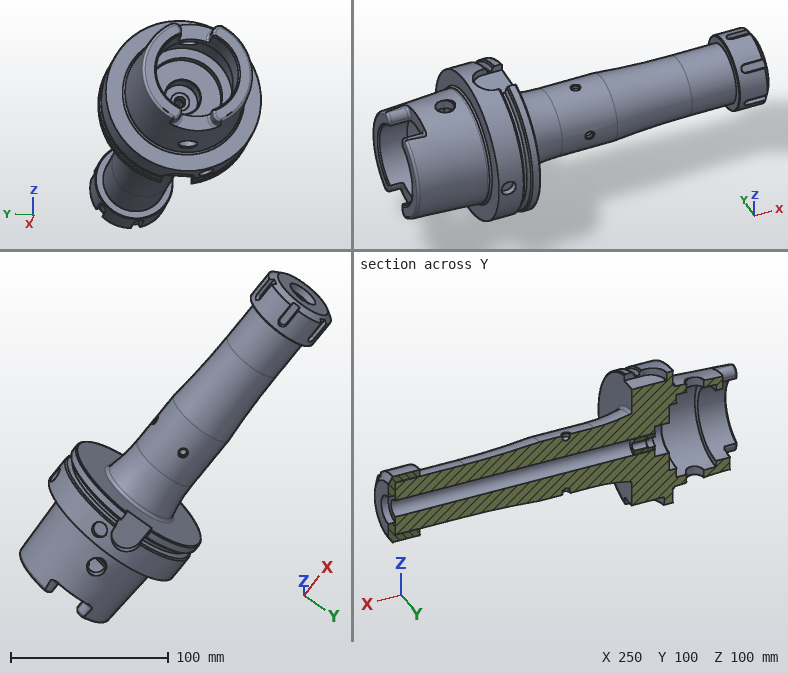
import cadquery as cq
import math


shank_length = 50.0
shank_end_radius = 35.5
shank_root_radius = 38.0
shank_root_width = 2.7
root_fillet = 1.2
rim_round = 1.7

mouth_radius = 26.5
mouth_chamfer = 1.0
mouth_depth = 20.0
chamber_radius = 31.0
chamber_end_x = -2.5
seat_radius = 24.5
seat_floor_x = 2.5
thread_radius = 11.2
thread_chamfer = 0.5
thread_depth = 10.0

drive_half_width = 10.0
drive_flare_radius = 5.0
drive_flare_height = 32.0
upper_drive_depth = 15.0
lower_drive_depth = 10.0
drive_floor_round = 1.7

clamp_hole_radius = 6.0
clamp_hole_x = -15.5
clamp_hole_chamfer = 0.5

flange_radius = 50.0
flange_width = 29.0
flange_chamfer = 0.7
groove_x = 20.2
groove_floor_radius = 45.7
groove_floor_half_width = 1.0
groove_mouth_half_width = 2.2
groove_chamfer = 1.0

key_floor_height = 44.0
upper_key_width = 22.0
upper_key_start = 4.7
lower_key_width = 20.0
lower_key_start = 6.5

chip_radius = 5.0
chip_depth = 4.5
side_chip_x = 6.7
lower_chip_x = 9.0
lower_chip_angle = 19.0

neck_foot_radius = 25.5
neck_foot_round = 2.0
neck_thick_radius = 22.5
neck_thin_radius = 20.0
neck_arc_end = 55.7
neck_taper_start = 94.0
neck_taper_end = 146.7

balance_x = 75.0
balance_radius = 2.5
balance_countersink = 0.7
balance_depth = 3.0
balance_count = 4
drill_tip_angle = 118.0

nut_start = 177.5
nut_length = 22.5
nut_radius = 25.0
nut_rear_chamfer = 0.5
nut_bevel_length = 3.2
nut_bevel_height = 5.0
nut_front_wall = 5.0
nut_opening_radius = 10.0
wrench_slot_count = 6
wrench_slot_angle = 10.0
wrench_slot_width = 5.0
wrench_slot_start = 182.2
wrench_slot_floor = 22.2
wrench_slot_taper = 12.0

bore_radius = 6.0
stop_length = 15.0
stop_hole_radius = 2.7
stop_socket_radius = 3.5
stop_socket_depth = 5.0

nut_end = nut_start + nut_length
thread_end_x = seat_floor_x + thread_depth
spigot_end = nut_end - nut_front_wall


def x_cylinder(radius, start, end):
    return cq.Workplane("YZ", origin=(start, 0, 0)).circle(radius).extrude(end - start)


def tangent_arc_middle(tangent_point, other_point):
    """Middle of the arc that leaves tangent_point parallel to X and ends at other_point."""
    run = other_point[0] - tangent_point[0]
    rise = other_point[1] - tangent_point[1]
    arc_radius = (run**2 + rise**2) / (2 * rise)
    half_angle = math.atan2(rise, abs(run))
    return (
        tangent_point[0] + math.copysign(abs(arc_radius) * math.sin(half_angle), run),
        tangent_point[1] + arc_radius * (1 - math.cos(half_angle)),
    )


def revolve_about_x(sketch):
    return sketch.close().revolve(360, (0, 0, 0), (1, 0, 0))


def shank():
    profile = (
        cq.Workplane("XY")
        .moveTo(-shank_length, 0)
        .lineTo(-shank_length, shank_end_radius)
        .lineTo(-shank_root_width, shank_root_radius)
        .lineTo(-root_fillet, shank_root_radius)
        .radiusArc((0, shank_root_radius + root_fillet), root_fillet)
        .lineTo(0, 0)
    )
    return revolve_about_x(profile)


def shank_bore():
    mouth_end = mouth_depth - shank_length
    profile = (
        cq.Workplane("XY")
        .moveTo(-shank_length, 0)
        .lineTo(-shank_length, mouth_radius + mouth_chamfer)
        .lineTo(mouth_chamfer - shank_length, mouth_radius)
        .lineTo(mouth_end, mouth_radius)
        .lineTo(mouth_end, chamber_radius)
        .lineTo(chamber_end_x, chamber_radius)
        .lineTo(chamber_end_x, seat_radius)
        .lineTo(seat_floor_x, seat_radius)
        .lineTo(seat_floor_x, thread_radius + thread_chamfer)
        .lineTo(seat_floor_x + thread_chamfer, thread_radius)
        .lineTo(thread_end_x, thread_radius)
        .lineTo(thread_end_x, 0)
    )
    return revolve_about_x(profile)


def drive_slot(side, depth):
    """Slot in the shank rim whose sides flare outwards round; side is +1 for +Z, -1 for -Z."""
    flare_end = drive_half_width + drive_flare_radius
    flat_height = drive_flare_height - drive_flare_radius
    inset = drive_flare_radius * (1 - math.sqrt(0.5))
    arc_middle_y = drive_half_width + inset
    arc_middle_z = side * (drive_flare_height - inset)
    flare_z = side * drive_flare_height
    top_z = side * flange_radius
    outline = (
        cq.Workplane("YZ", origin=(-shank_length, 0, 0))
        .moveTo(-drive_half_width, 0)
        .lineTo(-drive_half_width, side * flat_height)
        .threePointArc((-arc_middle_y, arc_middle_z), (-flare_end, flare_z))
        .lineTo(-shank_root_radius, flare_z)
        .lineTo(-shank_root_radius, top_z)
        .lineTo(shank_root_radius, top_z)
        .lineTo(shank_root_radius, flare_z)
        .lineTo(flare_end, flare_z)
        .threePointArc((arc_middle_y, arc_middle_z), (drive_half_width, side * flat_height))
        .lineTo(drive_half_width, 0)
        .close()
    )
    return outline.extrude(depth).faces(">X").edges().fillet(drive_floor_round)


def clamp_hole(side):
    """Countersunk radial hole from the shank axis outwards; side is +1 for +Z, -1 for -Z."""
    slope = (shank_root_radius - shank_end_radius) / (shank_length - shank_root_width)
    surface = shank_end_radius + slope * (shank_length + clamp_hole_x)
    hole = (
        cq.Workplane("XZ", origin=(clamp_hole_x, 0, 0))
        .lineTo(clamp_hole_radius, 0)
        .lineTo(clamp_hole_radius, surface - clamp_hole_chamfer)
        .lineTo(clamp_hole_radius + 2 * clamp_hole_chamfer, surface + clamp_hole_chamfer)
        .lineTo(0, surface + clamp_hole_chamfer)
        .close()
        .revolve(360, (0, 0, 0), (0, 1, 0))
    )
    return hole if side > 0 else hole.mirror("XY")


def flange():
    groove_edge = flange_radius - groove_chamfer
    profile = (
        cq.Workplane("XY")
        .moveTo(0, 0)
        .lineTo(0, flange_radius)
        .lineTo(groove_x - groove_mouth_half_width - groove_chamfer, flange_radius)
        .lineTo(groove_x - groove_mouth_half_width, groove_edge)
        .lineTo(groove_x - groove_floor_half_width, groove_floor_radius)
        .lineTo(groove_x + groove_floor_half_width, groove_floor_radius)
        .lineTo(groove_x + groove_mouth_half_width, groove_edge)
        .lineTo(groove_x + groove_mouth_half_width + groove_chamfer, flange_radius)
        .lineTo(flange_width - flange_chamfer, flange_radius)
        .lineTo(flange_width, flange_radius - flange_chamfer)
        .lineTo(flange_width, 0)
    )
    return revolve_about_x(profile)


def key_slot(side, width, start):
    """Slot with a round end that opens at the front of the flange."""
    end_radius = width / 2
    end_centre = start + end_radius
    return (
        cq.Workplane("XY", origin=(0, 0, side * key_floor_height))
        .moveTo(flange_width, -end_radius)
        .lineTo(end_centre, -end_radius)
        .threePointArc((start, 0), (end_centre, end_radius))
        .lineTo(flange_width, end_radius)
        .close()
        .extrude(side * flange_radius)
    )


def chip_pocket(x, angle):
    """Round blind pocket in the flange; the angle turns from -Z towards -Y."""
    pocket = (
        cq.Workplane("XY", origin=(x, 0, chip_depth - flange_radius))
        .circle(chip_radius)
        .extrude(-2 * chip_depth)
    )
    return pocket.rotate((0, 0, 0), (1, 0, 0), -angle)


def neck():
    foot = (flange_width + neck_foot_round, neck_foot_radius)
    arc_end = (neck_arc_end, neck_thick_radius)
    taper_start = (neck_taper_start, neck_thick_radius)
    taper_end = (neck_taper_end, neck_thin_radius)
    profile = (
        cq.Workplane("XY")
        .moveTo(flange_width, 0)
        .lineTo(flange_width, neck_foot_radius + neck_foot_round)
        .radiusArc(foot, -neck_foot_round)
        .threePointArc(tangent_arc_middle(arc_end, foot), arc_end)
        .lineTo(*taper_start)
        .threePointArc(tangent_arc_middle(taper_end, taper_start), taper_end)
        .lineTo(spigot_end, neck_thin_radius)
        .lineTo(spigot_end, 0)
    )
    return revolve_about_x(profile)


def balance_hole(angle):
    """Drilled blind hole in the neck with a conical bottom."""
    tip_height = balance_radius / math.tan(math.radians(drill_tip_angle / 2))
    floor = neck_thick_radius - balance_depth
    hole = (
        cq.Workplane("XZ", origin=(balance_x, 0, 0))
        .moveTo(0, floor - tip_height)
        .lineTo(balance_radius, floor)
        .lineTo(balance_radius, neck_thick_radius - balance_countersink)
        .lineTo(balance_radius + 2 * balance_countersink, neck_thick_radius + balance_countersink)
        .lineTo(0, neck_thick_radius + balance_countersink)
        .close()
        .revolve(360, (0, 0, 0), (0, 1, 0))
    )
    return hole.rotate((0, 0, 0), (1, 0, 0), angle)


def make_holder():
    hollow_shank = shank()
    hollow_shank = hollow_shank.cut(drive_slot(1, upper_drive_depth))
    hollow_shank = hollow_shank.cut(drive_slot(-1, lower_drive_depth))
    hollow_shank = hollow_shank.faces("<X").edges().fillet(rim_round)
    for side in (1, -1):
        hollow_shank = hollow_shank.cut(clamp_hole(side))
    body = hollow_shank.union(flange()).union(neck())
    body = body.cut(shank_bore())
    body = body.cut(x_cylinder(bore_radius, thread_end_x, spigot_end))
    body = body.cut(key_slot(1, upper_key_width, upper_key_start))
    body = body.cut(key_slot(-1, lower_key_width, lower_key_start))
    body = body.cut(chip_pocket(side_chip_x, 90))
    body = body.cut(chip_pocket(lower_chip_x, lower_chip_angle))
    for index in range(balance_count):
        body = body.cut(balance_hole(index * 360 / balance_count))
    return body


def wrench_slot(angle):
    """Round-ended slot along the nut, wider towards the outside; the angle turns from +Z towards +Y."""
    half_width = wrench_slot_width / 2
    end_centre = wrench_slot_start + half_width
    slot = (
        cq.Workplane("XY", origin=(0, 0, wrench_slot_floor))
        .moveTo(nut_end, -half_width)
        .lineTo(end_centre, -half_width)
        .threePointArc((wrench_slot_start, 0), (end_centre, half_width))
        .lineTo(nut_end, half_width)
        .close()
        .extrude(nut_radius - wrench_slot_floor, taper=-wrench_slot_taper)
    )
    return slot.rotate((0, 0, 0), (1, 0, 0), -angle)


def make_nut():
    profile = (
        cq.Workplane("XY")
        .moveTo(nut_start, neck_thin_radius)
        .lineTo(nut_start, nut_radius - nut_rear_chamfer)
        .lineTo(nut_start + nut_rear_chamfer, nut_radius)
        .lineTo(nut_end - nut_bevel_length, nut_radius)
        .lineTo(nut_end, nut_radius - nut_bevel_height)
        .lineTo(nut_end, nut_opening_radius)
        .lineTo(spigot_end, nut_opening_radius)
        .lineTo(spigot_end, neck_thin_radius)
    )
    body = revolve_about_x(profile)
    for index in range(wrench_slot_count):
        body = body.cut(wrench_slot(wrench_slot_angle + index * 360 / wrench_slot_count))
    return body


def make_stop_screw():
    body = x_cylinder(bore_radius, thread_end_x, thread_end_x + stop_length)
    body = body.cut(x_cylinder(stop_hole_radius, thread_end_x, thread_end_x + stop_length))
    return body.cut(x_cylinder(stop_socket_radius, thread_end_x, thread_end_x + stop_socket_depth))


holder = make_holder()
nut = make_nut()
stop_screw = make_stop_screw()
result = cq.Compound.makeCompound([holder.val(), nut.val(), stop_screw.val()])